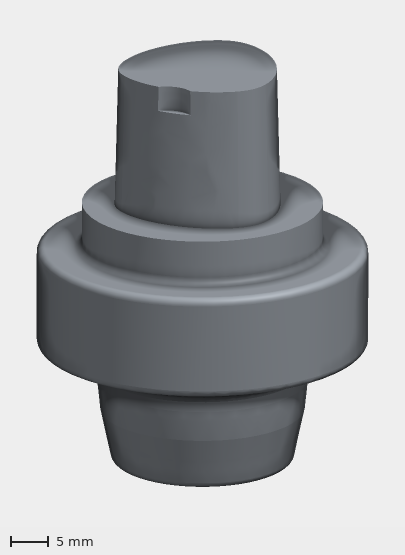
import cadquery as cq
import math

TOTAL_HEIGHT = 55.0
SHANK_BASE_Z = 36.0
FLANGE_TOP_Z = 30.0
NECK_TAPER_START_Z = 11.4
NECK_CONE_TOP_Z = 7.2

FLANGE_RADIUS = 44.0 / 2
COLLAR_RADIUS = 32.0 / 2
NECK_RADIUS = 28.0 / 2
EDGE_RADIUS = 1.0
FLANGE_CORNER_Z = 16.4
UNDERSIDE_ANGLE = math.radians(20)
NECK_CONE_ANGLE = math.radians(12)

SHANK_BASE_WIDTH = 22.0
SHANK_TAPER = 1 / 20
LOBE_HEIGHT = 0.705
LOBE_HALF_ANGLE = 22.5

NOTCH_RADIUS = 3.6
NOTCH_INNER_Y = -8.85
NOTCH_DEPTH = 3.35


def make_body():
    """Revolved flange, collar and tapered neck with rounded corners."""
    underside_drop = (FLANGE_RADIUS - NECK_RADIUS) * math.tan(UNDERSIDE_ANGLE)
    underside_inner_z = FLANGE_CORNER_Z - underside_drop

    blend_radius = (NECK_TAPER_START_Z - NECK_CONE_TOP_Z) / math.sin(NECK_CONE_ANGLE)
    blend_center_r = NECK_RADIUS - blend_radius
    half_angle = NECK_CONE_ANGLE / 2
    blend_middle = (
        blend_center_r + blend_radius * math.cos(half_angle),
        NECK_TAPER_START_Z - blend_radius * math.sin(half_angle),
    )
    cone_top_radius = blend_center_r + blend_radius * math.cos(NECK_CONE_ANGLE)
    bottom_radius = cone_top_radius - NECK_CONE_TOP_Z * math.tan(NECK_CONE_ANGLE)

    body = (
        cq.Workplane("XZ")
        .lineTo(bottom_radius, 0)
        .lineTo(cone_top_radius, NECK_CONE_TOP_Z)
        .threePointArc(blend_middle, (NECK_RADIUS, NECK_TAPER_START_Z))
        .lineTo(NECK_RADIUS, underside_inner_z)
        .lineTo(FLANGE_RADIUS, FLANGE_CORNER_Z)
        .lineTo(FLANGE_RADIUS, FLANGE_TOP_Z)
        .lineTo(COLLAR_RADIUS, FLANGE_TOP_Z)
        .lineTo(COLLAR_RADIUS, SHANK_BASE_Z)
        .lineTo(0, SHANK_BASE_Z)
        .close()
        .revolve(360, (0, 0, 0), (0, 1, 0))
    )
    rounded_corners = (
        (bottom_radius, 0),
        (NECK_RADIUS, underside_inner_z),
        (FLANGE_RADIUS, FLANGE_CORNER_Z),
        (FLANGE_RADIUS, FLANGE_TOP_Z),
        (COLLAR_RADIUS, FLANGE_TOP_Z),
    )
    for radius, z in rounded_corners:
        corner = cq.selectors.BoxSelector(
            (-radius - 0.55, -radius - 0.55, z - 0.05),
            (radius + 0.55, radius + 0.55, z + 0.05),
            boundingbox=True,
        )
        circles = body.edges("%CIRCLE").edges(corner)
        outer_circles = [edge for edge in circles.vals() if abs(edge.radius() - radius) < 0.05]
        body = body.newObject(outer_circles).fillet(EDGE_RADIUS)
    return body


def shank_point(width, z, normal_angle):
    """Outline point whose normal is turned by normal_angle degrees from +Y."""
    turn = math.radians(normal_angle)
    reach = width / 2 + LOBE_HEIGHT * math.cos(3 * turn)
    reach_slope = -3 * LOBE_HEIGHT * math.sin(3 * turn)
    along_y = reach * math.cos(turn) - reach_slope * math.sin(turn)
    along_minus_x = reach * math.sin(turn) + reach_slope * math.cos(turn)
    return cq.Vector(-along_minus_x, along_y, z)


def shank_outline(width, z):
    """Closed outline of three lobes joined by three flatter flanks."""
    curves = []
    steps = 8
    for lobe_angle in (0, 120, 240):
        lobe_start = lobe_angle - LOBE_HALF_ANGLE
        lobe_end = lobe_angle + LOBE_HALF_ANGLE
        for start, end in ((lobe_start, lobe_end), (lobe_end, lobe_start + 120)):
            angles = [start + (end - start) * i / steps for i in range(steps + 1)]
            points = [shank_point(width, z, angle) for angle in angles]
            tangents = [
                cq.Vector(-math.cos(math.radians(angle)), -math.sin(math.radians(angle)), 0)
                for angle in (start, end)
            ]
            curves.append(cq.Edge.makeSpline(points, tangents=tangents))
    return cq.Wire.assembleEdges(curves)


def make_shank():
    top_width = SHANK_BASE_WIDTH - (TOTAL_HEIGHT - SHANK_BASE_Z) * SHANK_TAPER
    base = shank_outline(SHANK_BASE_WIDTH, SHANK_BASE_Z)
    top = shank_outline(top_width, TOTAL_HEIGHT)
    return cq.Workplane(cq.Solid.makeLoft([base, top], True))


def make_notch():
    """Upright cylinder that cuts a shallow scoop into the shank's top edge."""
    return (
        cq.Workplane("XY", origin=(0, NOTCH_INNER_Y - NOTCH_RADIUS, TOTAL_HEIGHT - NOTCH_DEPTH))
        .circle(NOTCH_RADIUS)
        .extrude(NOTCH_DEPTH)
    )


result = make_body().union(make_shank()).cut(make_notch())